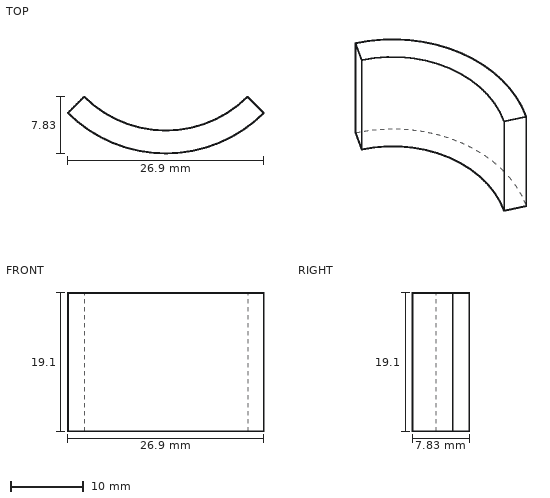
import cadquery as cq
import math

chord_width = 26.95
height = 19.05
wall_thickness = 3.18
half_angle = math.radians(45)

outer_radius = chord_width / 2 / math.sin(half_angle)
inner_radius = outer_radius - wall_thickness


def arc_point(radius, angle):
    """Point at an angle from the -Y axis, on a circle about the origin."""
    return (radius * math.sin(angle), -radius * math.cos(angle))


result = (
    cq.Workplane("XY")
    .moveTo(*arc_point(outer_radius, -half_angle))
    .threePointArc(arc_point(outer_radius, 0), arc_point(outer_radius, half_angle))
    .lineTo(*arc_point(inner_radius, half_angle))
    .threePointArc(arc_point(inner_radius, 0), arc_point(inner_radius, -half_angle))
    .close()
    .extrude(height)
)